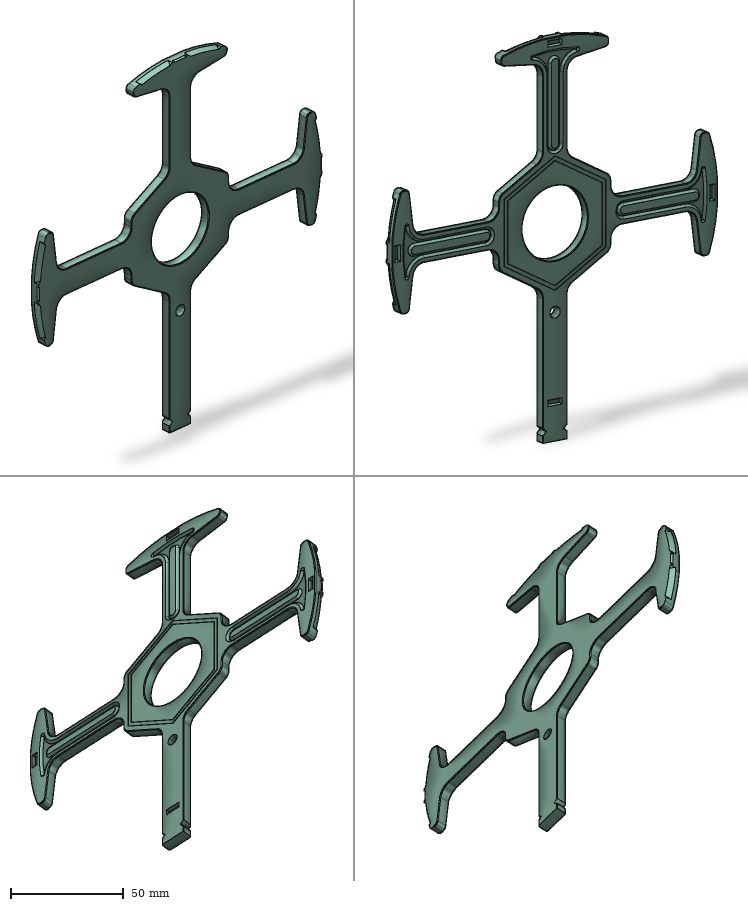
import cadquery as cq
import math

THICKNESS = 5.0
REACH = 86.5
LEG_REACH = 101.1
EDGE_CHAMFER = 0.4
ARM_HALF_WIDTH = 6.5

HUB_APOTHEM = 29.8
HUB_CORNER_RADIUS = 4.5
BORE_DIAMETER = 34.7
GROOVE_OUTER_APOTHEM = 27.0
GROOVE_INNER_APOTHEM = 25.1
GROOVE_DEPTH = 0.2

HEAD_HALF_LENGTH = 28.7
HEAD_RIM_RADIUS = math.hypot(ARM_HALF_WIDTH, REACH)
NECK_DEPTH = 11.8
TIP_DEPTH = 9.0
TIP_RADIUS = 2.3
SHARP_RIM_Z = 80.0
BLEND_RADIUS = 6.0

RECESS_DEPTH = 1.1
WALL_RUN = 1.1
RECESS_HALF_WIDTH = 3.2
RIB_HALF_WIDTH = 3.0
RECESS_START = 36.5
RIB_END = 74.5
FLARE_TOP_Z = 79.7
FLARE_HALF_LENGTH = 11.8

WINDOW_LENGTH = 7.5
WINDOW_WIDTH = 2.8
WINDOW_DEPTH = 1.9
WINDOW_WALL_RUN = 0.4
HEAD_WINDOW_Z = 83.7
LEG_WINDOW_Z = -83.1

RELIEF_DEPTH = 1.1
RELIEF_START = 2.3
RELIEF_MIDDLE_START = 3.4
RELIEF_MIDDLE_HALF = 4.0
RELIEF_INNER = 4.7
RELIEF_OUTER = 24.5
RELIEF_END_RUN = 1.5

LEG_HOLE_DIAMETER = 5.5
LEG_HOLE_Z = -41.3
NOTCH_Z = -95.9
NOTCH_DEPTH = 1.9

ARM_ANGLES = (0, 90, -90)

PICK_MARGIN = 0.1


def plane(x=0.0):
    """Sketch plane parallel to YZ at the given X."""
    return cq.Workplane("YZ", origin=(x, 0, 0))


def hexagon(apothem):
    """Hexagon outline with flats at +Y and -Y and corners at +Z and -Z."""
    radius = apothem / math.cos(math.pi / 6)
    turns = [math.radians(30 + 60 * i) for i in range(6)]
    return plane().polyline([(radius * math.cos(t), radius * math.sin(t)) for t in turns]).close()


def at_every_arm(solid):
    """Union of the solid copied to the three arms."""
    copies = [solid.rotate((0, 0, 0), (1, 0, 0), angle) for angle in ARM_ANGLES]
    return copies[0].union(copies[1]).union(copies[2])


def edges_at(solid, y, z):
    """Through-thickness edges at the mirrored places (+-y, z)."""
    found = None
    for side in (-y, y):
        box = cq.selectors.BoxSelector(
            (-THICKNESS, side - PICK_MARGIN, z - PICK_MARGIN),
            (2 * THICKNESS, side + PICK_MARGIN, z + PICK_MARGIN),
        )
        picked = solid.edges("|X").edges(box)
        found = picked if found is None else found.add(picked)
    return found


def rim_z(y):
    """Height of the top head's curved rim at the given Y."""
    return math.sqrt(HEAD_RIM_RADIUS**2 - y**2)


def make_arm():
    """Arm with its anchor-shaped head, pointing along +Z."""
    neck_z = REACH - NECK_DEPTH
    tip_z = REACH - TIP_DEPTH
    corner_z = rim_z(HEAD_HALF_LENGTH)
    middle_y = (HEAD_HALF_LENGTH + ARM_HALF_WIDTH) / 2
    middle = (middle_y, rim_z(middle_y))
    arm = (
        plane()
        .moveTo(-ARM_HALF_WIDTH, 0)
        .lineTo(ARM_HALF_WIDTH, 0)
        .lineTo(ARM_HALF_WIDTH, neck_z)
        .lineTo(HEAD_HALF_LENGTH, tip_z)
        .lineTo(HEAD_HALF_LENGTH, corner_z)
        .threePointArc(middle, (ARM_HALF_WIDTH, REACH))
        .lineTo(-ARM_HALF_WIDTH, REACH)
        .threePointArc((-middle[0], middle[1]), (-HEAD_HALF_LENGTH, corner_z))
        .lineTo(-HEAD_HALF_LENGTH, tip_z)
        .lineTo(-ARM_HALF_WIDTH, neck_z)
        .close()
        .extrude(THICKNESS)
    )
    arm = edges_at(arm, ARM_HALF_WIDTH, neck_z).fillet(BLEND_RADIUS)
    arm = edges_at(arm, HEAD_HALF_LENGTH, tip_z).fillet(TIP_RADIUS)
    return edges_at(arm, HEAD_HALF_LENGTH, corner_z).fillet(TIP_RADIUS)


def make_body():
    """Hub, three arms and the leg, with rounded junctions."""
    hub = hexagon(HUB_APOTHEM).extrude(THICKNESS)
    corner_z = HUB_APOTHEM * math.tan(math.pi / 6)
    for z in (-corner_z, corner_z):
        hub = edges_at(hub, HUB_APOTHEM, z).fillet(HUB_CORNER_RADIUS)
    leg = plane().center(0, -LEG_REACH / 2).rect(2 * ARM_HALF_WIDTH, LEG_REACH).extrude(THICKNESS)
    body = hub.union(at_every_arm(make_arm())).union(leg)
    slant_z = (HUB_APOTHEM - ARM_HALF_WIDTH * math.sin(math.pi / 6)) / math.cos(math.pi / 6)
    for y, z in ((ARM_HALF_WIDTH, slant_z), (HUB_APOTHEM, ARM_HALF_WIDTH)):
        for end in (-z, z):
            body = edges_at(body, y, end).fillet(BLEND_RADIUS)
    return body


def make_arm_recess():
    """Sloped-wall recess along the top arm, flared under the head, around a central rib."""
    wall_angle = math.degrees(math.atan2(WALL_RUN, RECESS_DEPTH))
    slope = math.atan2(NECK_DEPTH - TIP_DEPTH, HEAD_HALF_LENGTH - ARM_HALF_WIDTH)
    centre_y = ARM_HALF_WIDTH + BLEND_RADIUS
    centre_z = REACH - NECK_DEPTH + BLEND_RADIUS * (math.tan(slope) - 1 / math.cos(slope))
    radius = centre_y - RECESS_HALF_WIDTH

    def on_flare(angle):
        return (centre_y - radius * math.cos(angle), centre_z + radius * math.sin(angle))

    arc_angle = math.pi / 2 - slope
    arc_end = on_flare(arc_angle)
    arc_middle = on_flare(arc_angle / 2)
    tip = (FLARE_HALF_LENGTH, arc_end[1] + (FLARE_HALF_LENGTH - arc_end[0]) * math.tan(slope))
    recess = (
        plane(RECESS_DEPTH)
        .moveTo(-RECESS_HALF_WIDTH, RECESS_START)
        .threePointArc((0, RECESS_START - RECESS_HALF_WIDTH), (RECESS_HALF_WIDTH, RECESS_START))
        .lineTo(RECESS_HALF_WIDTH, centre_z)
        .threePointArc(arc_middle, arc_end)
        .lineTo(*tip)
        .threePointArc((0, FLARE_TOP_Z), (-tip[0], tip[1]))
        .lineTo(-arc_end[0], arc_end[1])
        .threePointArc((-arc_middle[0], arc_middle[1]), (-RECESS_HALF_WIDTH, centre_z))
        .close()
        .extrude(-RECESS_DEPTH, taper=-wall_angle)
    )
    rib = (
        plane(RECESS_DEPTH)
        .moveTo(-RIB_HALF_WIDTH, RIB_END)
        .lineTo(-RIB_HALF_WIDTH, RECESS_START)
        .threePointArc((0, RECESS_START - RIB_HALF_WIDTH), (RIB_HALF_WIDTH, RECESS_START))
        .lineTo(RIB_HALF_WIDTH, RIB_END)
        .threePointArc((0, RIB_END + RIB_HALF_WIDTH), (-RIB_HALF_WIDTH, RIB_END))
        .close()
        .extrude(-RECESS_DEPTH, taper=wall_angle)
    )
    return recess.cut(rib)


def make_window(z):
    """Blind rectangular window with drafted walls."""
    draft = math.degrees(math.atan2(WINDOW_WALL_RUN, WINDOW_DEPTH))
    return plane().center(0, z).rect(WINDOW_LENGTH, WINDOW_WIDTH).extrude(WINDOW_DEPTH, taper=draft)


def make_relief(start_x, low_y, high_y):
    """Relief in the rim of the top head between two Y places, with sloped end walls."""
    slope = RELIEF_DEPTH / (THICKNESS - RELIEF_START)
    floor_radius = HEAD_RIM_RADIUS - slope * (THICKNESS - start_x)
    outer_radius = 2 * HEAD_RIM_RADIUS
    wedge = (
        cq.Workplane("XY")
        .polyline(
            [
                (start_x, HEAD_RIM_RADIUS),
                (THICKNESS, floor_radius),
                (THICKNESS, outer_radius),
                (start_x, outer_radius),
            ]
        )
        .close()
        .revolve(360, (0, 0, 0), (1, 0, 0))
    )
    run = RELIEF_END_RUN
    span = (
        plane()
        .polyline(
            [
                (low_y + run, rim_z(low_y) - RELIEF_DEPTH),
                (high_y - run, rim_z(high_y) - RELIEF_DEPTH),
                (high_y, rim_z(high_y)),
                (high_y, outer_radius),
                (low_y, outer_radius),
                (low_y, rim_z(low_y)),
            ]
        )
        .close()
        .extrude(THICKNESS)
    )
    return wedge.intersect(span)


def make_notch(side):
    """V notch in one long edge of the leg; side is -1 or 1."""
    edge = side * ARM_HALF_WIDTH
    tip = side * (ARM_HALF_WIDTH - NOTCH_DEPTH)
    corners = [(edge, NOTCH_Z - NOTCH_DEPTH), (tip, NOTCH_Z), (edge, NOTCH_Z + NOTCH_DEPTH)]
    return plane().polyline(corners).close().extrude(THICKNESS)


body = make_body()
body = body.cut(plane().circle(BORE_DIAMETER / 2).extrude(THICKNESS))
end_margin = 2 * EDGE_CHAMFER
leg_end = cq.selectors.BoxSelector(
    (-THICKNESS, -ARM_HALF_WIDTH, -LEG_REACH - end_margin),
    (2 * THICKNESS, ARM_HALF_WIDTH, -LEG_REACH + end_margin),
)
broken_edges = cq.selectors.InverseSelector(leg_end)
body = body.faces("<X or >X").edges(broken_edges).chamfer(EDGE_CHAMFER)

back_half = plane(THICKNESS / 2).rect(2 * HEAD_HALF_LENGTH, 2 * REACH).extrude(THICKNESS / 2)
above_rim = plane().center(0, SHARP_RIM_Z + REACH / 2).rect(2 * HEAD_HALF_LENGTH, REACH).extrude(THICKNESS)
body = body.union(at_every_arm(make_arm().intersect(back_half).intersect(above_rim)))

groove = hexagon(GROOVE_OUTER_APOTHEM).extrude(GROOVE_DEPTH)
groove = groove.cut(hexagon(GROOVE_INNER_APOTHEM).extrude(GROOVE_DEPTH))
body = body.cut(groove)

arm_cuts = [
    make_arm_recess(),
    make_window(HEAD_WINDOW_Z),
    make_relief(RELIEF_START, RELIEF_INNER, RELIEF_OUTER),
    make_relief(RELIEF_START, -RELIEF_OUTER, -RELIEF_INNER),
    make_relief(RELIEF_MIDDLE_START, -RELIEF_MIDDLE_HALF, RELIEF_MIDDLE_HALF),
]
for arm_cut in arm_cuts:
    for angle in ARM_ANGLES:
        body = body.cut(arm_cut.rotate((0, 0, 0), (1, 0, 0), angle))

body = body.cut(plane().center(0, LEG_HOLE_Z).circle(LEG_HOLE_DIAMETER / 2).extrude(THICKNESS))
result = body.cut(make_window(LEG_WINDOW_Z)).cut(make_notch(-1)).cut(make_notch(1))